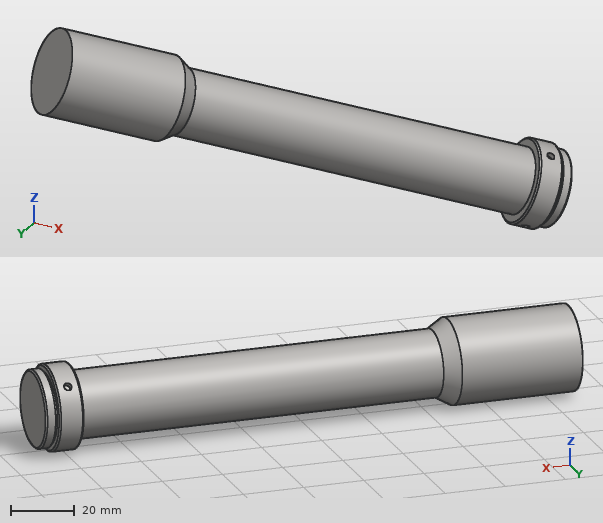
import cadquery as cq
import math

length = 178.0
handle_end = 40.0
tube_start = 45.2
collar_start = 165.8
collar_end = 174.0
rim_start = 174.9

handle_radius = 28.0 / 2
collar_radius = handle_radius
tube_radius = 21.9 / 2
neck_radius = 11.8
rim_radius = 12.6

collar_chamfer = 0.5
rim_chamfer = 0.5

hole_count = 3
hole_diameter = 2.5
hole_depth = 1.8
first_hole_angle = 45.0
hole_x = (collar_start + collar_end) / 2


def cylinder(start, end, radius):
    """Cylinder on the X axis between two axial positions."""
    return cq.Workplane("YZ", origin=(start, 0, 0)).circle(radius).extrude(end - start)


def turned_body():
    """Handle, tapered shoulder and tube, revolved about X."""
    profile = [
        (0, 0),
        (0, handle_radius),
        (handle_end, handle_radius),
        (tube_start, tube_radius),
        (collar_start, tube_radius),
        (collar_start, 0),
    ]
    return cq.Workplane("XY").polyline(profile).close().revolve(360, (0, 0, 0), (1, 0, 0))


def radial_hole(angle):
    """Blind hole cutter entering the collar towards the X axis."""
    outward = cq.Vector(0, math.cos(math.radians(angle)), math.sin(math.radians(angle)))
    mouth = cq.Vector(hole_x, 0, 0) + outward * collar_radius
    cutter = cq.Solid.makeCylinder(
        hole_diameter / 2, 2 * hole_depth, mouth - outward * hole_depth, outward
    )
    return cq.Workplane(cutter)


collar = cylinder(collar_start, collar_end, collar_radius).edges().chamfer(collar_chamfer)
neck = cylinder(collar_end, rim_start, neck_radius)
rim = cylinder(rim_start, length, rim_radius).faces(">X").edges().chamfer(rim_chamfer)

result = turned_body().union(collar).union(neck).union(rim)

for index in range(hole_count):
    result = result.cut(radial_hole(first_hole_angle + index * 360 / hole_count))